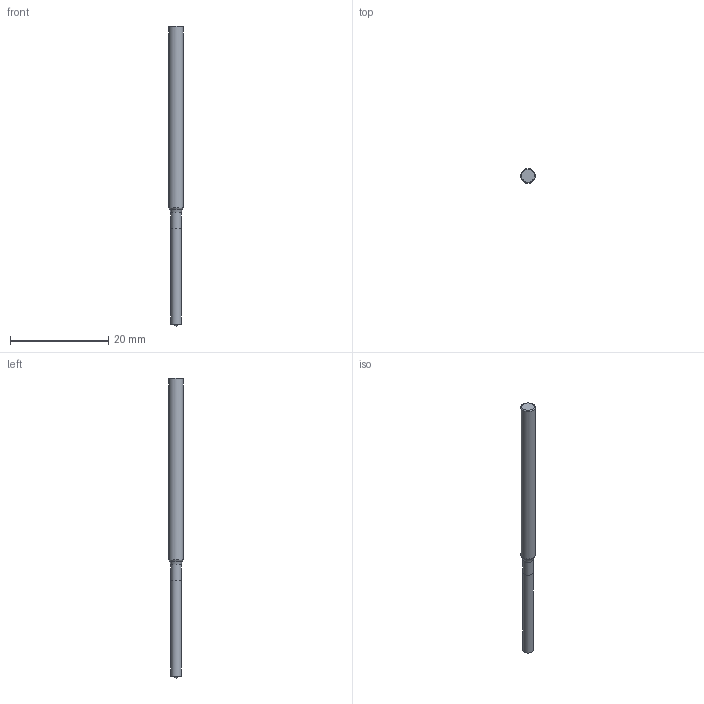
import cadquery as cq
import math

overall_length = 61.0
cutting_length = 19.8
straight_neck_top = 23.0

shank_radius = 3.0 / 2
drill_radius = 2.2 / 2

point_angle = 140.0
end_chamfer = 0.2
cone_half_angle = 30.0
blend_radius = 1.5

point_height = drill_radius / math.tan(math.radians(point_angle / 2))

cone_slope = math.radians(cone_half_angle)


def blend_point(turn):
    """Radius and height on the concave arc after it has turned by the given angle."""
    return (
        drill_radius + blend_radius * (1 - math.cos(turn)),
        straight_neck_top + blend_radius * math.sin(turn),
    )


cone_start_radius, cone_start = blend_point(cone_slope)
shank_start = cone_start + (shank_radius - cone_start_radius) / math.tan(cone_slope)


def revolve_about_axis(profile):
    """Turn a closed half profile (radius, height) around the tool axis."""
    return profile.close().revolve(360, (0, 0, 0), (0, 1, 0))


def make_cutting_end():
    """Plain cylinder with a conical drill point."""
    profile = (
        cq.Workplane("XZ")
        .moveTo(0, 0)
        .lineTo(drill_radius, point_height)
        .lineTo(drill_radius, cutting_length)
        .lineTo(0, cutting_length)
    )
    return revolve_about_axis(profile)


def make_neck():
    """Straight neck that widens through an arc and a cone to the shank."""
    profile = (
        cq.Workplane("XZ")
        .moveTo(0, cutting_length)
        .lineTo(drill_radius, cutting_length)
        .lineTo(drill_radius, straight_neck_top)
        .threePointArc(blend_point(cone_slope / 2), blend_point(cone_slope))
        .lineTo(shank_radius, shank_start)
        .lineTo(0, shank_start)
    )
    return revolve_about_axis(profile)


def make_shank():
    """Cylindrical shank with a chamfered free end."""
    shank_length = overall_length - shank_start
    cylinder = cq.Workplane("XY", origin=(0, 0, shank_start)).circle(shank_radius).extrude(shank_length)
    return cylinder.faces(">Z").chamfer(end_chamfer)


cutting_end = make_cutting_end()
neck = make_neck()
shank = make_shank()

result = cq.Compound.makeCompound([cutting_end.val(), neck.val(), shank.val()])